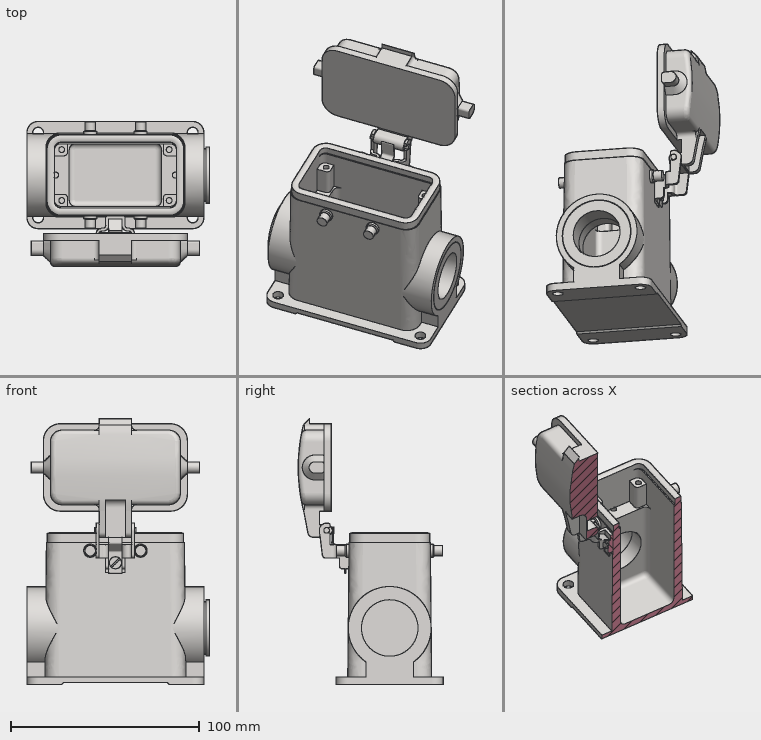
import cadquery as cq
import math


FLANGE_X = 94.0
FLANGE_Y = 57.0
FLANGE_THICK = 4.0
FLANGE_CORNER = 6.0
MOUNT_HOLE_DIA = 5.6
MOUNT_HOLE_X = 41.0
MOUNT_HOLE_Y = 22.5
RELIEF_X = 57.0
RELIEF_DEPTH = 1.0

BODY_BASE = (74.8, 44.6)
BODY_SHOULDER = (73.3, 43.2)
RIM_SIZE = (72.4, 42.6)
BODY_CORNER = 7.5
SHOULDER_Z = 75.4
RIM_TOP_Z = 80.6
RIM_CROWN = 0.5

OPENING_SIZE = (64.7, 34.7)
OPENING_CORNER = 3.3
LEDGE_Z = 76.5
SHELF_Z = 55.0
PAD_Z = 70.0
PAD_INNER_X = 25.4
PAD_INNER_Y = 10.2
PAD_CORNER = 2.0
PAD_HOLE_DIA = 3.1
PAD_HOLE_X = 28.5
PAD_HOLE_Y = 13.5
PAD_HOLE_DEPTH = 10.0
SHELF_HOLE_X = 31.7
SHELF_HOLE_DEPTH = 5.0
WELL_SIZE = (49.0, 33.2)
WELL_FLOOR_Z = 5.0
WELL_CORNER = 3.2
WELL_FLOOR_FILLET = 3.0

PORT_Z = 30.0
PORT_DIA = 44.0
PORT_BORE_DIA = 25.5
PORT_FOOT_Y = 25.0
INSERT_DIA = 37.0
INSERT_SEAT_DIA = 37.5
INSERT_LENGTH = 13.5
PLUG_FLANGE_DIA = 30.0
PLUG_FLANGE_THICK = 2.0
PLUG_NECK_DIA = 28.0
PLUG_NECK_LENGTH = 1.0

STUD_DIA = 5.6
STUD_COLLAR_DIA = 7.0
STUD_COLLAR_Y = 23.6
STUD_COLLAR_CHAMFER = 0.6
STUD_TIP_Y = 28.1
STUD_X = 13.35
STUD_Z = 71.0

SHEET = 1.6
SEAT_Y = -21.6
HAT_HALF_X = 5.15
HAT_LOW_Z = 61.3
HAT_SIDE_Y = -26.7
HAT_BACK_FILLET = 1.0
HAT_SIDE_FILLET = 1.7
BRACKET_LOW_Z = 67.0
BRACKET_TOP_Z = 74.2
EAR_HALF_X = 10.25
WING_BACK_Y = -28.2
BEND_RADIUS = 2.2
PIVOT_Y = -33.45
PIVOT_Z = 81.8
PIVOT_DIA = 3.0
PIVOT_TIP_X = 11.0
EAR_TIP_RADIUS = 3.9
EAR_FRONT_LOW_Y = -35.6
EAR_BACK_Y = -31.6
EAR_CORNER = 2.0
LEAF_THICK = 0.8
LEAF_LOW_Z = 59.4
LEAF_BEND_Z = 70.8
LEAF_KNEE = (-30.4, 74.8)
LEAF_TOP = (-29.9, 83.2)
LEAF_BEND_FILLET = 1.2
SCREW_HEAD_DIA = 6.4
SCREW_HEAD_THICK = 0.8
SCREW_Z = 64.6
SCREW_SLOT = 0.8
SCREW_SLOT_DEPTH = 0.4

COVER_Z = 115.15
COVER_BACK_Y = -30.9
PLATE_X = 76.5
PLATE_Z = 46.5
PLATE_THICK = 3.85
PLATE_CORNER = 9.0
DOME_X = 69.0
DOME_Z = 39.6
DOME_CORNER = 6.2
DOME_EDGE = 2.8
DOME_FRONT_Y = -48.63
CROWN_RADIUS = 92.0
SPINE_HALF_X = 8.63
SPINE_CORNER = 2.5
CATCH_TOP_Z = 141.13
CATCH_BACK_Y = -42.5
ARM_BACK_Y = -37.15
ARM_LOW_Z = 78.1
ARM_TOE_Y = -43.0
ARM_TOE_RADIUS = 3.0
ARM_RECESS_HALF_X = 5.25
ARM_RECESS_TOP_Z = 97.9
ARM_RECESS_FLOOR_Y = -38.2
ARM_RECESS_FILLET = 4.0
KNUCKLE_RADIUS = 3.0
LUG_TIP_X = 44.7
LUG_BACK_Y = -34.9
LUG_FRONT_Y = -42.75
LUG_HEIGHT = 6.0
LUG_BACK_RADIUS = 1.25
LUG_FLARE = 3.6


def box(x_min, x_max, y_min, y_max, z_min, z_max):
    size = (x_max - x_min, y_max - y_min, z_max - z_min)
    return cq.Workplane("XY").box(*size, centered=False).translate((x_min, y_min, z_min))


def rounded_block(size, corner, z_min, z_max):
    sketch = cq.Sketch().rect(*size).vertices().fillet(corner)
    return cq.Workplane("XY", origin=(0, 0, z_min)).placeSketch(sketch).extrude(z_max - z_min)


def drafted_block(low_size, high_size, corner, z_min, z_max):
    low = cq.Workplane("XY", origin=(0, 0, z_min)).rect(*low_size)
    block = low.workplane(offset=z_max - z_min).rect(*high_size).loft(ruled=True)
    return block.edges("not(|X or |Y)").fillet(corner)


def cylinder_x(diameter, x_min, x_max, y, z):
    plane = cq.Workplane("YZ", origin=(x_min, y, z))
    return plane.circle(diameter / 2).extrude(x_max - x_min)


def cylinder_y(diameter, y_min, y_max, x, z):
    plane = cq.Workplane("XZ", origin=(x, y_max, z))
    return plane.circle(diameter / 2).extrude(y_max - y_min)


def port_cylinder(diameter, x_min, x_max):
    return cylinder_x(diameter, x_min, x_max, 0, PORT_Z)


def mounting_flange():
    flange = rounded_block((FLANGE_X, FLANGE_Y), FLANGE_CORNER, 0, FLANGE_THICK)
    holes = (
        cq.Workplane("XY")
        .rect(2 * MOUNT_HOLE_X, 2 * MOUNT_HOLE_Y, forConstruction=True)
        .vertices()
        .circle(MOUNT_HOLE_DIA / 2)
        .extrude(FLANGE_THICK)
    )
    half = RELIEF_X / 2
    relief = (
        cq.Workplane("XZ", origin=(0, FLANGE_Y / 2, 0))
        .polyline([(-half, 0), (half, 0), (half - RELIEF_DEPTH, RELIEF_DEPTH),
                   (RELIEF_DEPTH - half, RELIEF_DEPTH)])
        .close()
        .extrude(FLANGE_Y)
    )
    return flange.cut(holes).cut(relief)


def rim_crown():
    """Bead of shallow arc section that rounds off the top of the rim."""
    base_z = RIM_TOP_Z - RIM_CROWN
    wall = (RIM_SIZE[0] - OPENING_SIZE[0]) / 2
    middle_size = (RIM_SIZE[0] - wall, RIM_SIZE[1] - wall)
    middle = rounded_block(middle_size, BODY_CORNER - wall / 2, base_z - 1, base_z)
    path = middle.faces(">Z").wires()
    section = (
        cq.Workplane("YZ", origin=(0, middle_size[1] / 2, base_z))
        .moveTo(-wall / 2, 0)
        .threePointArc((0, RIM_CROWN), (wall / 2, 0))
        .close()
    )
    return section.sweep(path)


def housing_shell():
    body = drafted_block(BODY_BASE, BODY_SHOULDER, BODY_CORNER, FLANGE_THICK, SHOULDER_Z)
    rim = rounded_block(RIM_SIZE, BODY_CORNER, SHOULDER_Z, RIM_TOP_Z - RIM_CROWN).union(rim_crown())
    port = port_cylinder(PORT_DIA, -FLANGE_X / 2, FLANGE_X / 2)
    foot = box(-FLANGE_X / 2, FLANGE_X / 2, -PORT_FOOT_Y / 2, PORT_FOOT_Y / 2, 0, PORT_Z)
    relief = box(-RELIEF_X / 2, RELIEF_X / 2, -PORT_FOOT_Y / 2, PORT_FOOT_Y / 2, 0, RELIEF_DEPTH)
    return body.union(rim).union(port).union(foot.cut(relief)).union(mounting_flange())


def opening():
    """Mouth inside the rim, a narrow ledge along the long walls, and the shelf space below."""
    upper = rounded_block(OPENING_SIZE, OPENING_CORNER, LEDGE_Z, RIM_TOP_Z)
    lower_size = (OPENING_SIZE[0], WELL_SIZE[1])
    return upper.union(rounded_block(lower_size, OPENING_CORNER, SHELF_Z, LEDGE_Z))


def well():
    shape = rounded_block(WELL_SIZE, WELL_CORNER, WELL_FLOOR_Z, SHELF_Z)
    return shape.faces("<Z").edges().fillet(WELL_FLOOR_FILLET)


def corner_pad(side_x, side_y):
    """Post in a corner of the opening, carrying a screw hole."""
    outer_x = OPENING_SIZE[0] / 2 + OPENING_CORNER
    outer_y = OPENING_SIZE[1] / 2 + OPENING_CORNER
    pad = box(PAD_INNER_X, outer_x, PAD_INNER_Y, outer_y, SHELF_Z, PAD_Z)
    pad = pad.edges("|Z and <X and <Y").fillet(PAD_CORNER)
    hole = (
        cq.Workplane("XY", origin=(PAD_HOLE_X, PAD_HOLE_Y, PAD_Z - PAD_HOLE_DEPTH))
        .circle(PAD_HOLE_DIA / 2)
        .extrude(PAD_HOLE_DEPTH)
    )
    pad = pad.cut(hole)
    if side_x < 0:
        pad = pad.mirror("YZ")
    if side_y < 0:
        pad = pad.mirror("XZ")
    return pad


def cavity():
    space = opening()
    for side_x in (-1, 1):
        for side_y in (-1, 1):
            space = space.cut(corner_pad(side_x, side_y))
        hole = (
            cq.Workplane("XY", origin=(side_x * SHELF_HOLE_X, 0, SHELF_Z - SHELF_HOLE_DEPTH))
            .circle(PAD_HOLE_DIA / 2)
            .extrude(SHELF_HOLE_DEPTH)
        )
        space = space.union(hole)
    return space.union(well())


def locking_stud(x, side_y):
    collar = cylinder_y(STUD_COLLAR_DIA, 0, STUD_COLLAR_Y, x, STUD_Z)
    collar = collar.faces(">Y").chamfer(STUD_COLLAR_CHAMFER)
    stud = collar.union(cylinder_y(STUD_DIA, 0, STUD_TIP_Y, x, STUD_Z))
    return stud if side_y > 0 else stud.mirror("XZ")


def build_housing():
    housing = housing_shell()
    for x in (-STUD_X, STUD_X):
        for side_y in (-1, 1):
            housing = housing.union(locking_stud(x, side_y))
    housing = housing.cut(cavity())
    half = FLANGE_X / 2
    housing = housing.cut(port_cylinder(PORT_BORE_DIA, -half, half))
    housing = housing.cut(port_cylinder(INSERT_SEAT_DIA, -half, INSERT_LENGTH - half))
    seat = box(-HAT_HALF_X, HAT_HALF_X, SEAT_Y - 1, SEAT_Y, LEAF_LOW_Z, BRACKET_TOP_Z)
    return housing.cut(seat)


def build_insert():
    start = -FLANGE_X / 2
    end = start + INSERT_LENGTH
    return port_cylinder(INSERT_DIA, start, end).cut(port_cylinder(PORT_BORE_DIA, start, end))


def build_plug():
    face = FLANGE_X / 2
    neck_end = face + PLUG_NECK_LENGTH
    shank = port_cylinder(PORT_BORE_DIA, face - INSERT_LENGTH, face)
    neck = port_cylinder(PLUG_NECK_DIA, face, neck_end)
    flange = port_cylinder(PLUG_FLANGE_DIA, neck_end, neck_end + PLUG_FLANGE_THICK)
    return shank.union(neck).union(flange)


def hat():
    """Channel against the housing wall, open to the front, with lowered sides."""
    inner = HAT_HALF_X - SHEET
    channel = box(-HAT_HALF_X, HAT_HALF_X, HAT_SIDE_Y, SEAT_Y, HAT_LOW_Z, BRACKET_TOP_Z)
    channel = channel.edges("|X and <Y and <Z").fillet(HAT_SIDE_FILLET)
    channel = channel.edges("|Z and >Y").fillet(HAT_BACK_FILLET)
    return channel.cut(box(-inner, inner, HAT_SIDE_Y, SEAT_Y - SHEET, 0, BRACKET_TOP_Z))


def wing():
    """Bent strip from the +X side of the hat, outwards and then forward into the ear."""
    leg_x = HAT_HALF_X - SHEET / 2
    ear_x = EAR_HALF_X - SHEET / 2
    wing_y = WING_BACK_Y - SHEET / 2
    path = (
        cq.Workplane("XY", origin=(0, 0, BRACKET_LOW_Z))
        .moveTo(leg_x, SEAT_Y - SHEET)
        .lineTo(leg_x, wing_y + BEND_RADIUS)
        .tangentArcPoint((leg_x + BEND_RADIUS, wing_y), relative=False)
        .lineTo(ear_x - BEND_RADIUS, wing_y)
        .tangentArcPoint((ear_x, wing_y - BEND_RADIUS), relative=False)
        .lineTo(ear_x, EAR_BACK_Y - SHEET)
    )
    return path.offset2D(SHEET / 2).extrude(BRACKET_TOP_Z - BRACKET_LOW_Z)


def ear():
    """Upright ear at +X holding the pivot in a slot open towards the housing."""
    lean = math.atan2(EAR_FRONT_LOW_Y - (PIVOT_Y - EAR_TIP_RADIUS), PIVOT_Z - BRACKET_LOW_Z)
    front = (PIVOT_Y - EAR_TIP_RADIUS * math.cos(lean), PIVOT_Z - EAR_TIP_RADIUS * math.sin(lean))
    back_z = PIVOT_Z + math.sqrt(EAR_TIP_RADIUS**2 - (EAR_BACK_Y - PIVOT_Y) ** 2)
    plate = (
        cq.Workplane("YZ", origin=(EAR_HALF_X - SHEET, 0, 0))
        .moveTo(EAR_BACK_Y, BRACKET_LOW_Z)
        .lineTo(EAR_FRONT_LOW_Y, BRACKET_LOW_Z)
        .lineTo(*front)
        .threePointArc((PIVOT_Y, PIVOT_Z + EAR_TIP_RADIUS), (EAR_BACK_Y, back_z))
        .close()
        .extrude(SHEET)
    )
    plate = plate.edges("|X and <Z").edges("<Y").fillet(EAR_CORNER)
    half = PIVOT_DIA / 2
    slot = box(0, EAR_HALF_X, PIVOT_Y, EAR_BACK_Y, PIVOT_Z - half, PIVOT_Z + half)
    return plate.cut(slot).cut(cylinder_x(PIVOT_DIA, 0, EAR_HALF_X, PIVOT_Y, PIVOT_Z))


def leaf_spring():
    """Strip lying in the hat, cranked outwards and then up behind the cover knuckle."""
    half = HAT_HALF_X - SHEET
    wall = SEAT_Y - SHEET - LEAF_THICK / 2
    path = (
        cq.Workplane("YZ")
        .moveTo(wall, LEAF_LOW_Z)
        .lineTo(wall, LEAF_BEND_Z)
        .lineTo(*LEAF_KNEE)
        .lineTo(*LEAF_TOP)
    )
    leaf = path.offset2D(LEAF_THICK / 2, "intersection").extrude(half, both=True)
    below_bends = (-half, LEAF_KNEE[0] - LEAF_THICK, LEAF_BEND_Z - LEAF_THICK)
    above_bends = (half, SEAT_Y, LEAF_KNEE[1] + LEAF_THICK)
    bends = cq.selectors.BoxSelector(below_bends, above_bends)
    return leaf.edges("|X").edges(bends).fillet(LEAF_BEND_FILLET)


def screw_head():
    back = SEAT_Y - SHEET - LEAF_THICK
    front = back - SCREW_HEAD_THICK
    head = cylinder_y(SCREW_HEAD_DIA, front, back, 0, SCREW_Z)
    reach = SCREW_HEAD_DIA / 2
    slot = box(-reach, reach, front, front + SCREW_SLOT_DEPTH, -SCREW_SLOT / 2, SCREW_SLOT / 2)
    slot = slot.rotate((0, 0, 0), (0, 1, 0), -45).translate((0, 0, SCREW_Z))
    return head.cut(slot)


def build_hinge():
    side = wing().union(ear())
    hinge = hat().union(side).union(side.mirror("YZ"))
    return hinge.union(leaf_spring()).union(screw_head())


def cover_block(size_x, size_z, corner, y_front, y_back):
    sketch = cq.Sketch().rect(size_x, size_z).vertices().fillet(corner)
    plane = cq.Workplane("XZ", origin=(0, y_back, COVER_Z))
    return plane.placeSketch(sketch).extrude(y_back - y_front)


def crown_y(z):
    """Y of the crowned front face at height z."""
    return DOME_FRONT_Y + CROWN_RADIUS - math.sqrt(CROWN_RADIUS**2 - (z - COVER_Z) ** 2)


def crown():
    axis_y = DOME_FRONT_Y + CROWN_RADIUS
    return cylinder_x(2 * CROWN_RADIUS, -PLATE_X, PLATE_X, axis_y, COVER_Z)


def dome():
    plate_front = COVER_BACK_Y - PLATE_THICK
    shape = cover_block(DOME_X, DOME_Z, DOME_CORNER, DOME_FRONT_Y - 1, plate_front)
    shape = shape.intersect(crown())
    return shape.faces("<Y").edges().fillet(DOME_EDGE)


def spine():
    """Central rib: the catch on top, the crowned face and the hinge arm below."""
    top = COVER_Z + PLATE_Z / 2
    foot_z = top - 0.6
    arm_z = COVER_Z - PLATE_Z / 2
    profile = (
        cq.Workplane("YZ", origin=(-SPINE_HALF_X, 0, 0))
        .moveTo(COVER_BACK_Y, top)
        .lineTo(CATCH_BACK_Y, top)
        .lineTo(CATCH_BACK_Y, CATCH_TOP_Z)
        .lineTo(crown_y(foot_z), foot_z)
        .threePointArc((DOME_FRONT_Y, COVER_Z), (crown_y(arm_z), arm_z))
        .lineTo(ARM_TOE_Y, ARM_LOW_Z)
        .lineTo(ARM_BACK_Y, ARM_LOW_Z)
        .lineTo(ARM_BACK_Y, arm_z)
        .lineTo(COVER_BACK_Y, arm_z)
        .close()
        .extrude(2 * SPINE_HALF_X)
    )
    return profile.edges("|X and <Z").edges("<Y").fillet(ARM_TOE_RADIUS)


def spine_gusset(side_x, side_z):
    """Concave fillet between the spine and the upper or lower side of the dome."""
    front = crown_y(COVER_Z + DOME_Z / 2) + DOME_EDGE / 2
    back = COVER_BACK_Y - PLATE_THICK
    x, z, r = SPINE_HALF_X, DOME_Z / 2, SPINE_CORNER
    gusset = box(x, x + r, front, back, z - 1, z + r).cut(cylinder_y(2 * r, front, back, x + r, z + r))
    if side_x < 0:
        gusset = gusset.mirror("YZ")
    if side_z < 0:
        gusset = gusset.mirror("XY")
    return gusset.translate((0, 0, COVER_Z))


def arm_recess():
    half = ARM_RECESS_HALF_X
    pocket = box(-half, half, DOME_FRONT_Y - 1, ARM_RECESS_FLOOR_Y, ARM_LOW_Z, ARM_RECESS_TOP_Z)
    return pocket.edges("|X and >Y and >Z").fillet(ARM_RECESS_FILLET)


def knuckle():
    barrel = cylinder_x(2 * KNUCKLE_RADIUS, -SPINE_HALF_X, SPINE_HALF_X, PIVOT_Y, PIVOT_Z)
    web = box(-SPINE_HALF_X, SPINE_HALF_X, ARM_BACK_Y, PIVOT_Y,
              PIVOT_Z - KNUCKLE_RADIUS, PIVOT_Z + KNUCKLE_RADIUS)
    pivot = cylinder_x(PIVOT_DIA, -PIVOT_TIP_X, PIVOT_TIP_X, PIVOT_Y, PIVOT_Z)
    return barrel.union(web).union(pivot)


def side_lug():
    """Locking lug on the +X end, flaring where it joins the dome."""
    base_x = PLATE_X / 2
    half = LUG_HEIGHT / 2
    sketch = (
        cq.Sketch()
        .rect(LUG_BACK_Y - LUG_FRONT_Y - half, LUG_HEIGHT)
        .vertices(">X")
        .fillet(LUG_BACK_RADIUS)
        .reset()
        .push([((LUG_FRONT_Y + half - LUG_BACK_Y) / 2, 0)])
        .circle(half)
        .clean()
    )
    middle = (LUG_BACK_Y + LUG_FRONT_Y + half) / 2
    flare_length = base_x - DOME_X / 2 + 1
    angle = math.degrees(math.atan2(LUG_FLARE, base_x - DOME_X / 2))
    plane = cq.Workplane("YZ", origin=(base_x, middle, COVER_Z))
    lug = plane.placeSketch(sketch).extrude(LUG_TIP_X - base_x)
    flare = plane.placeSketch(sketch).extrude(-flare_length, taper=-angle)
    behind = box(0, LUG_TIP_X, COVER_BACK_Y - PLATE_THICK, 0, 0, CATCH_TOP_Z)
    return lug.union(flare.cut(behind))


def build_cover():
    plate = cover_block(PLATE_X, PLATE_Z, PLATE_CORNER, COVER_BACK_Y - PLATE_THICK, COVER_BACK_Y)
    lug = side_lug()
    cover = dome().union(plate).union(spine())
    for side_x in (-1, 1):
        for side_z in (-1, 1):
            cover = cover.union(spine_gusset(side_x, side_z))
    cover = cover.cut(arm_recess()).union(knuckle())
    return cover.union(lug).union(lug.mirror("YZ"))


housing = build_housing()
insert = build_insert()
plug = build_plug()
hinge = build_hinge()
cover = build_cover()

result = cq.Compound.makeCompound([housing.val(), insert.val(), plug.val(), hinge.val(), cover.val()])